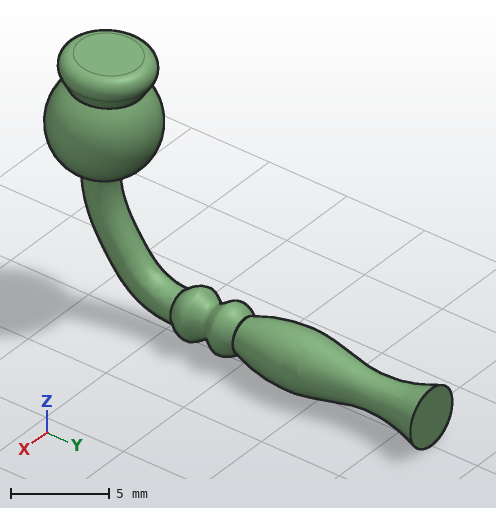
import cadquery as cq
import math


handle_start = 4.03
handle_length = 11.97
handle_end_radius = 1.05
belly_radius = 1.72
belly_distance = 3.55
waist_radius = 1.02
waist_distance = 8.3
mouth_radius = 1.75
mouth_slope = 0.38

bead_length = handle_start / 2
bead_radius = 1.49
groove_radius = 1.0

stem_radius = 1.0
stem_reach = 5.22
stem_rise = 6.57
elbow_reach = 3.66
elbow_rise = 2.12
bowl_tilt = 4.0

bowl_radius = 3.06
bowl_sink = 0.08
bowl_lip_radius = 2.0
bowl_centre = math.sqrt(bowl_radius**2 - stem_radius**2) - bowl_sink
bowl_lip = bowl_centre + math.sqrt(bowl_radius**2 - bowl_lip_radius**2)

cap_flat_radius = 1.81
rim_radius = 0.75
cap_foot_radius = 2.46
neck_height = 0.82
cap_foot = bowl_lip + neck_height
rim_centre = cap_foot + math.sqrt(rim_radius**2 - (cap_foot_radius - cap_flat_radius) ** 2)
cap_top = rim_centre + rim_radius


def make_handle():
    """Vase-shaped handle turned about the Y axis, with the beads at its inner end."""
    profile = cq.Workplane("XY").lineTo(stem_radius, 0).spline(
        [
            (bead_radius, bead_length / 2),
            (groove_radius, bead_length),
            (bead_radius, handle_start - bead_length / 2),
            (stem_radius, handle_start),
        ],
        tangents=[(1, 1), (0, 1), (0, 1), (0, 1), (-1, 1)],
        includeCurrent=True,
    )
    mouth = handle_start + handle_length
    profile = profile.lineTo(handle_end_radius, handle_start).spline(
        [
            (belly_radius, handle_start + belly_distance),
            (waist_radius, handle_start + waist_distance),
            (mouth_radius, mouth),
        ],
        tangents=[(mouth_slope, 1), (0, 1), (0, 1), (mouth_slope, 1)],
        includeCurrent=True,
    )
    return profile.lineTo(0, mouth).close().revolve(360, (0, 0), (0, 1))


def make_stem():
    """Round bar that turns from the handle axis up to the bowl axis."""
    lean = math.radians(bowl_tilt)
    path = cq.Workplane("YZ").spline(
        [(0, 0), (-elbow_reach, elbow_rise), (-stem_reach, stem_rise)],
        tangents=[(-1, 0), (math.sin(lean), math.cos(lean))],
    )
    return cq.Workplane("XZ").circle(stem_radius).sweep(path)


def make_bowl_and_cap():
    """Bowl, conical neck and rimmed cap, turned as one and tilted onto the stem end."""
    rim_diagonal = rim_radius * math.sqrt(0.5)
    head = (
        cq.Workplane("XZ")
        .moveTo(0, -bowl_sink)
        .lineTo(stem_radius, -bowl_sink)
        .threePointArc((bowl_radius, bowl_centre), (bowl_lip_radius, bowl_lip))
        .lineTo(cap_foot_radius, cap_foot)
        .threePointArc(
            (cap_flat_radius + rim_diagonal, rim_centre + rim_diagonal),
            (cap_flat_radius, cap_top),
        )
        .lineTo(0, cap_top)
        .close()
        .revolve(360, (0, 0), (0, 1))
    )
    return head.rotate((0, 0, 0), (1, 0, 0), -bowl_tilt).translate((0, -stem_reach, stem_rise))


result = make_handle().union(make_stem()).union(make_bowl_and_cap())